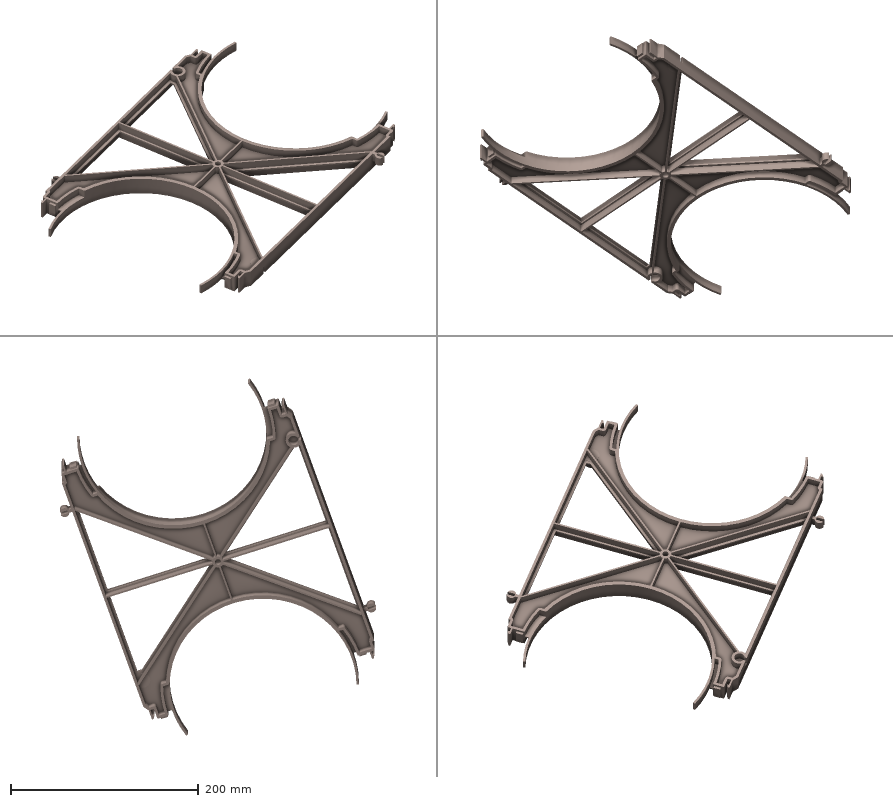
import cadquery as cq
import math

length = 363.0
span = 283.5
height = 20.0
half_height = height / 2

wall = 3.0
plate = 1.8
rib = 1.8
flange_lip = 3.0
overlap = 0.5

cradle_y = 150.0
cradle_radius = 100.0
cradle_rim = 104.0
arm_radius = 102.5
recess_radius = 106.7
recess_start = 116.5
ledge_end = 149.0

side_x = 129.0
end_y = 150.0
step_x = 126.5
step_y = 139.5
notch_x = 119.0
notch_y = 138.0
notch_chamfer_x = 4.0
notch_chamfer_y = 5.8
corner_chamfer = 1.5

clip_y = 106.5
diagonal_x = side_x - wall
diagonal_angle = math.degrees(math.atan2(clip_y, diagonal_x))
diagonal_flange = 3.5
hub_radius = 6.0
hub_collar = 7.3
hub_bore = 3.3
clip_radius = 5.0
clip_neck = 3.5
clip_slot = 3.3
slot_depth = 3.5
socket_x = 121.2
socket_radius = 5.5
socket_wall = 3.0
socket_floor_rise = 0.5

lug_x = 111.8
lug_width = 7.5
lug_height = 14.5
lug_reach = 2.5
hook_width = 1.8
end_hook_x = 120.0
end_hook_tip = 158.3
notch_hook_x = -125.0
notch_hook_tip = 149.0
hook_barb = 2.0
hook_barb_length = 3.5


def turned(body):
    """The body together with its half-turn copy about Z."""
    return body.union(body.rotate((0, 0, 0), (0, 0, 1), 180))


def inverted(body):
    """The body together with its copy turned half way about Z and flipped top to bottom."""
    copy = body.rotate((0, 0, 0), (0, 0, 1), 180).mirror("XY")
    return body.union(copy)


def block(x0, x1, y0, y1, z0=-half_height, z1=half_height):
    """Box between two opposite corners."""
    size = (x1 - x0, y1 - y0, z1 - z0)
    return cq.Workplane("XY").box(*size, centered=False).translate((x0, y0, z0))


def prism(points, z0=-half_height, z1=half_height):
    """Closed polygon extruded between two heights."""
    return cq.Workplane("XY").workplane(offset=z0).polyline(points).close().extrude(z1 - z0)


def disc(x, y, radius, z0=-half_height, z1=half_height):
    """Upright cylinder between two heights."""
    return cq.Workplane("XY").workplane(offset=z0).center(x, y).circle(radius).extrude(z1 - z0)


def cradle_ring(outer, z0=-half_height, z1=half_height):
    """Ring around the +Y cradle, from its bore out to the given radius."""
    return disc(0, cradle_y, outer, z0, z1).cut(disc(0, cradle_y, cradle_radius, z0, z1))


def make_footprint():
    """Full-height block with the frame outline, both cradles and all four arm recesses cut."""
    half = [
        (side_x, step_y),
        (step_x, step_y),
        (step_x, end_y - corner_chamfer),
        (step_x - corner_chamfer, end_y),
        (-notch_x, end_y),
        (-notch_x, notch_y),
        (-side_x + notch_chamfer_x, notch_y),
        (-side_x, notch_y - notch_chamfer_y),
    ]
    footprint = prism(half + [(-x, -y) for x, y in half])
    recess = disc(0, cradle_y, recess_radius)
    recess = recess.intersect(block(-side_x, side_x, recess_start, length))
    opening = disc(0, cradle_y, cradle_radius).union(recess)
    return footprint.cut(turned(opening))


def make_plate(footprint):
    """Mid-height web that fills each end between the diagonals and the cradle."""
    reach = length / 2
    corner_y = clip_y * side_x / diagonal_x
    fan = [(0, 0), (side_x, corner_y), (side_x, reach), (-side_x, reach), (-side_x, corner_y)]
    return turned(prism(fan, -plate / 2, plate / 2)).intersect(footprint)


def make_cradle():
    """Cradle wall, ledges under the arm recesses, and one arm on each half height."""
    rim = cradle_ring(cradle_rim).intersect(block(-side_x, side_x, 0, recess_start))
    ledge = cradle_ring(recess_radius + overlap, -plate / 2, plate / 2)
    ledge = ledge.intersect(block(-side_x, side_x, recess_start - overlap, ledge_end))

    tip_angle = math.asin((length / 2 - cradle_y) / arm_radius)
    ray = 2 * arm_radius
    tip = (-ray * math.cos(tip_angle), cradle_y + ray * math.sin(tip_angle))
    sector = [(0, cradle_y), tip, (-ray, recess_start - overlap), (0, recess_start - overlap)]
    arm = cradle_ring(arm_radius, -plate / 2, half_height).intersect(prism(sector))
    arms = arm.union(arm.rotate((0, 0, 0), (0, 1, 0), 180))
    return turned(rim.union(ledge).union(arms))


def make_ribs(footprint):
    """Upright ribs from the hub, with flanges on the diagonals, the cross bar and the sides."""
    ribs = block(-diagonal_x, diagonal_x, -rib / 2, rib / 2)
    cradle_bottom = cradle_y - cradle_rim
    ribs = ribs.union(block(-rib / 2, rib / 2, -cradle_bottom - overlap, cradle_bottom + overlap))
    ribs = ribs.union(block(-diagonal_x, diagonal_x, -flange_lip, flange_lip, -plate / 2, plate / 2))

    run = math.hypot(diagonal_x, clip_y)
    diagonal = block(-run, run, -rib / 2, rib / 2)
    strip = block(-run, run, -diagonal_flange, diagonal_flange, -plate / 2, plate / 2)
    diagonal = diagonal.union(strip)
    for angle in (diagonal_angle, -diagonal_angle):
        ribs = ribs.union(diagonal.rotate((0, 0, 0), (0, 0, 1), angle))

    lip_x = side_x - wall - flange_lip
    side = block(lip_x, side_x, -clip_y, clip_y, -plate / 2, plate / 2)
    return ribs.union(turned(side)).intersect(footprint)


def make_hub():
    """Flanged central tube and the bore that opens it above and below the plate."""
    bore = disc(0, 0, hub_bore).cut(disc(0, 0, hub_bore, -plate / 2, plate / 2))
    collar = disc(0, 0, hub_collar, -plate / 2, plate / 2)
    return disc(0, 0, hub_radius).union(collar), bore


def make_clips():
    """Split round clip on the upper half at +X +Y, and its inverted twin."""
    lip = math.sqrt(clip_radius**2 - (clip_slot / 2) ** 2)
    clip_x = span / 2 - lip
    neck = block(side_x - wall, clip_x, clip_y - clip_neck / 2, clip_y + clip_neck / 2, 0)
    slot = block(clip_x - slot_depth, span, clip_y - clip_slot / 2, clip_y + clip_slot / 2)
    head = disc(clip_x, clip_y, clip_radius, 0)
    return inverted(neck.union(head).cut(slot))


def make_sockets():
    """Clip sockets (upper half at -X +Y, lower half at +X -Y) and the keyhole openings in them."""
    outer_radius = socket_radius + socket_wall
    inside = block(-side_x, 0, 0, length)
    boss = disc(-socket_x, clip_y, outer_radius, -plate / 2 - socket_floor_rise)
    collar = disc(-socket_x, clip_y, outer_radius + flange_lip, -plate / 2, plate / 2)
    clearance = disc(-socket_x, clip_y, socket_radius, plate / 2)
    mouth_start = clip_y - clip_neck / 2
    mouth = block(-side_x, -socket_x, mouth_start, mouth_start + clip_neck, plate / 2)
    return inverted(boss.union(collar).intersect(inside)), inverted(clearance.union(mouth))


def make_hook(x, base_y, tip_y):
    """Full-height snap hook with its barb toward +X."""
    barb_y = tip_y - hook_barb_length
    outline = [
        (x, base_y - overlap),
        (x + hook_width, base_y - overlap),
        (x + hook_width, barb_y),
        (x + hook_width + hook_barb, barb_y),
        (x + hook_width, tip_y),
        (x, tip_y),
    ]
    return prism(outline)


def make_end_fittings():
    """Lugs and snap hooks on the end walls."""
    fittings = make_hook(end_hook_x, end_y, end_hook_tip)
    fittings = fittings.union(make_hook(notch_hook_x, notch_y, notch_hook_tip))
    for x in (-lug_x, lug_x):
        left = x - lug_width / 2
        right = x + lug_width / 2
        lug = block(left, right, end_y - overlap, end_y + lug_reach, -lug_height / 2, lug_height / 2)
        fittings = fittings.union(lug)
    return turned(fittings)


footprint = make_footprint()
perimeter = footprint.faces("|Z").shell(-wall)
hub, hub_holes = make_hub()
sockets, socket_clearance = make_sockets()

result = perimeter.union(make_plate(footprint)).union(make_cradle())
result = result.union(make_ribs(footprint))
result = result.union(hub).union(sockets).cut(hub_holes).cut(socket_clearance)
result = result.union(make_clips()).union(make_end_fittings())